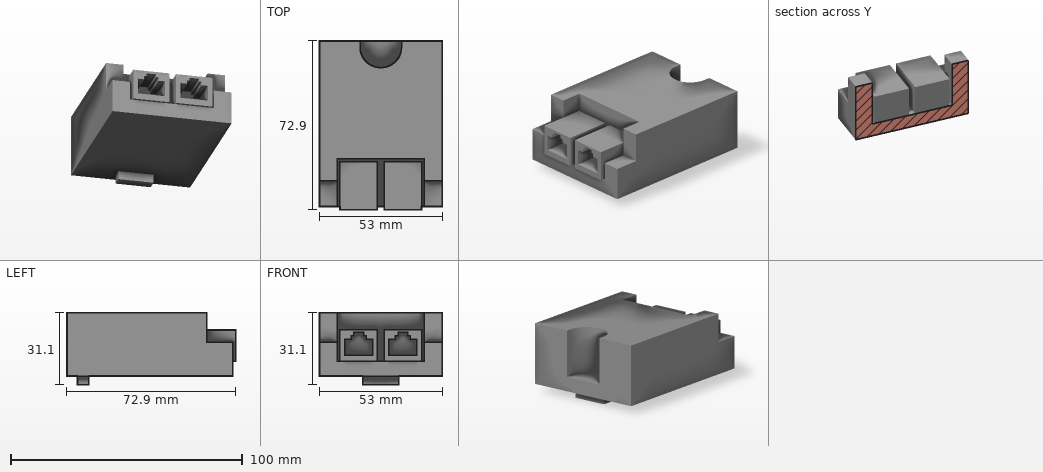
import cadquery as cq

total_length = 72.9
body_width = 53.05
total_height = 31.1
tab_height = 3.8
jack_overhang = 1.3
body_front = jack_overhang
body_top = total_height

shoulder_length = 11.15
shoulder_drop = 12.75

pocket_width = 37.45
pocket_length = 20.7
pocket_depth = 21.0
pocket_floor = body_top - pocket_depth

jack_width = 16.2
jack_height = 13.55
jack_length = 20.7
jack_spacing = 19.1
socket_floor = 2.6
socket_depth = 14.6
socket_tiers = [(12.1, 6.9), (6.4, 8.5), (4.2, 9.85)]

notch_radius = 9.0
notch_centre_inset = 2.6
notch_depth = pocket_depth

tab_width = 15.7
tab_length = 5.0
tab_back_inset = 4.5


def block(width, front, length, bottom, height, centre_x=0):
    """Box centred in X at centre_x, placed by its front face and its bottom."""
    box = cq.Workplane("XY").box(width, length, height, centered=(True, False, False))
    return box.translate((centre_x, front, bottom))


def make_body():
    body = block(body_width, body_front, total_length - body_front, tab_height, body_top - tab_height)
    body = body.cut(block(body_width, body_front, shoulder_length, body_top - shoulder_drop, shoulder_drop))
    return body.cut(block(pocket_width, body_front, pocket_length, pocket_floor, pocket_depth))


def make_notch():
    centre_y = total_length - notch_centre_inset
    floor = body_top - notch_depth
    round_end = cq.Workplane("XY").circle(notch_radius).extrude(notch_depth)
    round_end = round_end.translate((0, centre_y, floor))
    straight_end = block(2 * notch_radius, centre_y, notch_centre_inset, floor, notch_depth)
    return round_end.union(straight_end)


def make_jack(centre_x):
    jack = block(jack_width, 0, jack_length, pocket_floor, jack_height, centre_x)
    for width, height in socket_tiers:
        jack = jack.cut(block(width, 0, socket_depth, pocket_floor + socket_floor, height, centre_x))
    return jack


def make_tab():
    tab_front = total_length - tab_back_inset - tab_length
    return block(tab_width, tab_front, tab_length, 0, tab_height)


result = make_body().cut(make_notch()).union(make_tab())
for side in (-1, 1):
    result = result.union(make_jack(side * jack_spacing / 2))